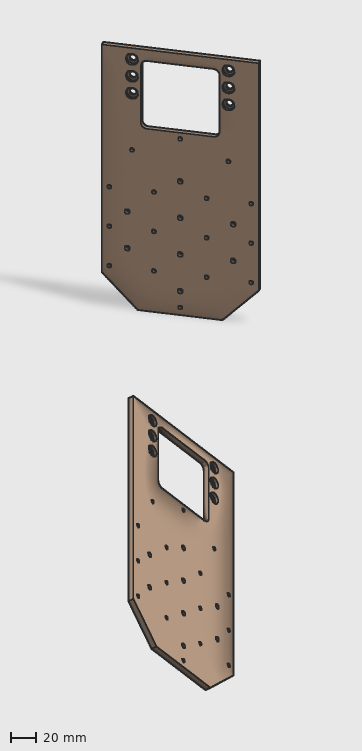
import cadquery as cq

WIDTH = 130.0
THICKNESS = 5.0
HEIGHT = 232.0
BOTTOM_CHAMFER = 30.0

WINDOW_WIDTH = 65.0
WINDOW_HEIGHT = 60.0
WINDOW_TOP_MARGIN = 10.0
WINDOW_CORNER_RADIUS = 4.9

SCREW_DIAMETER = 5.5
COUNTERBORE_DIAMETER = 10.0
COUNTERBORE_DEPTH = 3.0
SCREW_COLUMN_X = 40.0
SCREW_TOP_MARGIN = 10.0
SCREW_PITCH = 15.0
SCREW_ROWS = 3

SMALL_DIAMETER = 3.2
GRID_INNER_X = 21.8
GRID_OUTER_X = 58.7
GRID_BOTTOM_Z = 36.5
GRID_PITCH = 35.0
GRID_ROWS = 3
UPPER_PAIR_Z = 141.5
WINDOW_HOLE_Z = 156.4
BOTTOM_HOLE_Z = 6.7

MEDIUM_DIAMETER = 4.2
MEDIUM_SIDE_X = 43.8
MEDIUM_BOTTOM_Z = 21.3
MEDIUM_PITCH = 32.5
MEDIUM_ROWS = 4


def row_heights(first, pitch, count):
    """Z positions of evenly spaced rows; a negative pitch steps downward."""
    return [first + row * pitch for row in range(count)]


def mirrored(x, heights):
    """Points at -x and +x on every height."""
    return [(side * x, z) for z in heights for side in (-1, 1)]


def front_face():
    """Sketch plane on the front (-Y) face: local x is X, local y is Z, normal is -Y."""
    return cq.Workplane("XZ", origin=(0, -THICKNESS / 2, 0))


def bores(points, diameter, depth):
    """Cylinders sunk from the front face into the plate."""
    return front_face().pushPoints(points).circle(diameter / 2).extrude(-depth)


def plate():
    """Rectangular plate with its two bottom corners cut off."""
    return (
        cq.Workplane("XY")
        .box(WIDTH, THICKNESS, HEIGHT, centered=(True, True, False))
        .faces("<Z")
        .edges("|Y")
        .chamfer(BOTTOM_CHAMFER)
    )


def window():
    """Through opening with rounded corners."""
    center_z = HEIGHT - WINDOW_TOP_MARGIN - WINDOW_HEIGHT / 2
    return (
        front_face()
        .center(0, center_z)
        .rect(WINDOW_WIDTH, WINDOW_HEIGHT)
        .extrude(-THICKNESS)
        .edges("|Y")
        .fillet(WINDOW_CORNER_RADIUS)
    )


def screw_holes():
    """Two columns of counterbored through holes."""
    top_row_z = HEIGHT - SCREW_TOP_MARGIN
    points = mirrored(SCREW_COLUMN_X, row_heights(top_row_z, -SCREW_PITCH, SCREW_ROWS))
    through = bores(points, SCREW_DIAMETER, THICKNESS)
    return through.union(bores(points, COUNTERBORE_DIAMETER, COUNTERBORE_DEPTH))


def small_holes():
    """Grid holes, the pair under the screw columns and the two single holes."""
    grid_rows = row_heights(GRID_BOTTOM_Z, GRID_PITCH, GRID_ROWS)
    points = mirrored(GRID_INNER_X, grid_rows) + mirrored(GRID_OUTER_X, grid_rows)
    points += mirrored(SCREW_COLUMN_X, [UPPER_PAIR_Z])
    points += [(0, WINDOW_HOLE_Z), (0, BOTTOM_HOLE_Z)]
    return bores(points, SMALL_DIAMETER, THICKNESS)


def medium_holes():
    """Centre column and the side holes beside its middle rows."""
    rows = row_heights(MEDIUM_BOTTOM_Z, MEDIUM_PITCH, MEDIUM_ROWS)
    points = [(0, z) for z in rows] + mirrored(MEDIUM_SIDE_X, rows[1:-1])
    return bores(points, MEDIUM_DIAMETER, THICKNESS)


result = plate().cut(window()).cut(screw_holes()).cut(small_holes()).cut(medium_holes())